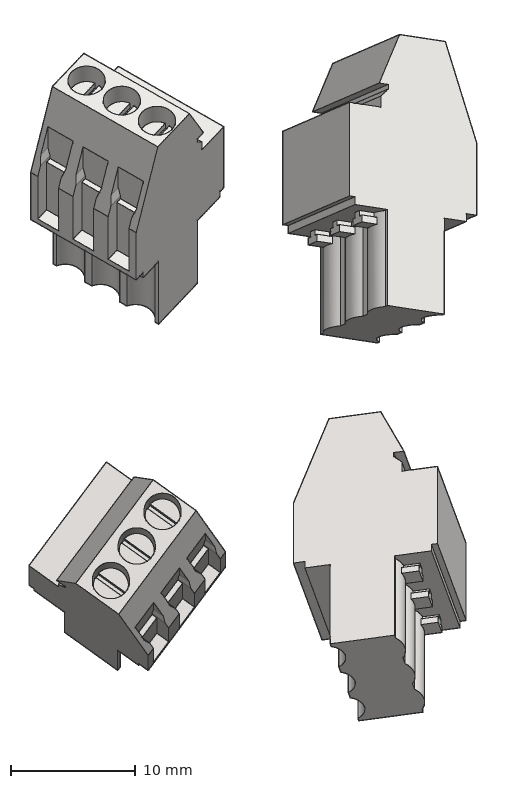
import cadquery as cq


POLES = 3
PITCH = 3.5
WIDTH = POLES * PITCH
DEPTH = 11.83
HEIGHT = 22.6

SKIRT_BOTTOM_Z = 7.95
STEP_Z = 8.6
FRONT_STEP = 0.95
BACK_STEP = 0.5
SHELF_Z = 16.35
SHOULDER_Z = 14.6
ROOF_FRONT_Y = 2.92
ROOF_BACK_Y = 7.18

NECK_Y = 8.9
NOTCH_Y = 8.24
CATCH_TIP_Y = 9.08
NOTCH_TOP_Z = 18.32
NOTCH_FLAT = 0.38
NOTCH_SLOPE = NECK_Y - NOTCH_Y

TONGUE_FRONT_Y = 3.02
TONGUE_BACK_Y = 8.3
GROOVE_CHORD = 2.77
GROOVE_DEPTH = 0.85
RIB_CHORD = 2.77
RIB_HEIGHT = 0.46

LUG_BACK_Y = 10.08
LUG_BOTTOM_Z = 6.92
LUG_HEAD_TOP_Z = 7.5
LUG_HEAD_WIDTH = 1.4
LUG_NECK_WIDTH = 0.7

POCKET_WIDTH = 2.06
POCKET_TOP_WIDTH = 2.5
POCKET_BOTTOM_Z = 9.2
LEDGE_Z = 15.25
TAPER_BOTTOM_Z = 15.6
TAPER_TOP_Z = 16.5
POCKET_TOP_Z = 19.15
POCKET_DEPTH = 1.18
POCKET_TOP_DEPTH = 1.65

SCREW_SHIFT_X = 0.1
SCREW_Y = 5.05
HOLE_DIAMETER = 2.98
HOLE_DEPTH = 4.0
SCREW_DIAMETER = 2.8
SCREW_RECESS = 1.85
SCREW_LENGTH = HOLE_DEPTH - SCREW_RECESS
DRIVE_SLOT_WIDTH = 0.4
DRIVE_SLOT_DEPTH = 0.6

pole_centres = [(i - (POLES - 1) / 2) * PITCH for i in range(POLES)]
screw_centres = [x + SCREW_SHIFT_X for x in pole_centres]


def box(width, y_range, z_range, centre_x=0.0):
    """Box centred on centre_x, spanning the given Y and Z ranges."""
    y0, y1 = y_range
    z0, z1 = z_range
    return (
        cq.Workplane("XY")
        .box(width, y1 - y0, z1 - z0, centered=(True, False, False))
        .translate((centre_x, y0, z0))
    )


def arc_column(centre_x, base_y, chord, rise):
    """Upright column bounded by a chord at base_y and an arc bulging towards +Y."""
    half = chord / 2
    return (
        cq.Workplane("XY")
        .moveTo(centre_x - half, base_y)
        .threePointArc((centre_x, base_y + rise), (centre_x + half, base_y))
        .close()
        .extrude(SKIRT_BOTTOM_Z)
    )


def housing_body():
    """Side profile of the housing above the tongue, extruded along X."""
    profile = [
        (FRONT_STEP, SKIRT_BOTTOM_Z),
        (FRONT_STEP, STEP_Z),
        (0, STEP_Z),
        (0, SHOULDER_Z),
        (ROOF_FRONT_Y, HEIGHT),
        (ROOF_BACK_Y, HEIGHT),
        (CATCH_TIP_Y, NOTCH_TOP_Z),
        (NOTCH_Y, NOTCH_TOP_Z),
        (NOTCH_Y, NOTCH_TOP_Z - NOTCH_FLAT),
        (NECK_Y, NOTCH_TOP_Z - NOTCH_FLAT - NOTCH_SLOPE),
        (NECK_Y, SHELF_Z),
        (DEPTH, SHELF_Z),
        (DEPTH, STEP_Z),
        (DEPTH - BACK_STEP, STEP_Z),
        (DEPTH - BACK_STEP, SKIRT_BOTTOM_Z),
    ]
    return cq.Workplane("YZ").polyline(profile).close().extrude(WIDTH / 2, both=True)


def tongue():
    """Plug tongue with concave grooves in front and rounded ribs behind."""
    body = box(WIDTH, (TONGUE_FRONT_Y, TONGUE_BACK_Y), (0, SKIRT_BOTTOM_Z))
    for x in pole_centres:
        body = body.cut(arc_column(x, TONGUE_FRONT_Y, GROOVE_CHORD, GROOVE_DEPTH))
        body = body.union(arc_column(x, TONGUE_BACK_Y, RIB_CHORD, RIB_HEIGHT))
    return body


def coding_lug(x):
    """T-shaped lug hanging under the skirt, rooted in the tongue."""
    y_range = (TONGUE_BACK_Y, LUG_BACK_Y)
    head = box(LUG_HEAD_WIDTH, y_range, (LUG_BOTTOM_Z, LUG_HEAD_TOP_Z), x)
    neck = box(LUG_NECK_WIDTH, y_range, (LUG_HEAD_TOP_Z, SKIRT_BOTTOM_Z), x)
    return head.union(neck)


def wire_pocket(x):
    """Keyhole-shaped pocket, deeper above the ledge than below it."""
    half = POCKET_WIDTH / 2
    top_half = POCKET_TOP_WIDTH / 2
    lower = box(POCKET_WIDTH, (0, POCKET_DEPTH), (POCKET_BOTTOM_Z, LEDGE_Z), x)
    upper_outline = [
        (x - half, LEDGE_Z),
        (x - half, TAPER_BOTTOM_Z),
        (x - top_half, TAPER_TOP_Z),
        (x - top_half, POCKET_TOP_Z),
        (x + top_half, POCKET_TOP_Z),
        (x + top_half, TAPER_TOP_Z),
        (x + half, TAPER_BOTTOM_Z),
        (x + half, LEDGE_Z),
    ]
    upper = cq.Workplane("XZ").polyline(upper_outline).close().extrude(-POCKET_TOP_DEPTH)
    return lower.union(upper)


def screw_hole(x):
    """Blind hole from the roof down to the seat of the screw."""
    return (
        cq.Workplane("XY", origin=(x, SCREW_Y, HEIGHT - HOLE_DEPTH))
        .circle(HOLE_DIAMETER / 2)
        .extrude(HOLE_DEPTH)
    )


def build_housing():
    body = housing_body().union(tongue())
    for x in pole_centres:
        body = body.union(coding_lug(x)).cut(wire_pocket(x))
    for x in screw_centres:
        body = body.cut(screw_hole(x))
    return body


def build_screw(x):
    """Slotted screw standing on the floor of its hole."""
    top_z = HEIGHT - SCREW_RECESS
    radius = SCREW_DIAMETER / 2
    shank = (
        cq.Workplane("XY", origin=(x, SCREW_Y, top_z - SCREW_LENGTH))
        .circle(radius)
        .extrude(SCREW_LENGTH)
    )
    slot = box(
        DRIVE_SLOT_WIDTH,
        (SCREW_Y - radius, SCREW_Y + radius),
        (top_z - DRIVE_SLOT_DEPTH, top_z),
        x,
    )
    return shank.cut(slot)


housing = build_housing()
screws = [build_screw(x) for x in screw_centres]

result = cq.Compound.makeCompound([housing.val(), *[screw.val() for screw in screws]])